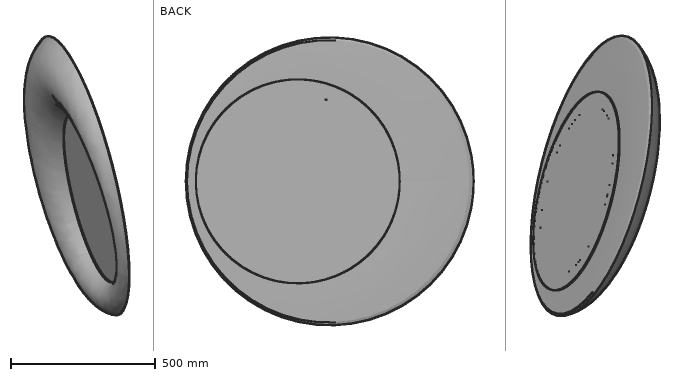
import cadquery as cq
import math

FRAME_RADIUS = 500.0
DOME_HEIGHT = 84.0
DOME_POWER = 0.9
RIM_THICKNESS = 4.0
BEVEL_PER_WIDTH = 0.05
BACK_BULGE = 3.5
BULGE_POWER = 3
MIRROR_RADIUS = 301.0
MIRROR_OFFSET = 111.0
BACK_PLATE_RADIUS = 354.0
BACK_PLATE_THICKNESS = 4.0
INNER_OVERLAP = 2.0
SECTIONS_PER_HALF = 9

dome_inner_radius = MIRROR_RADIUS - INNER_OVERLAP
widest_section = FRAME_RADIUS + MIRROR_OFFSET - dome_inner_radius
back_plate_rear = RIM_THICKNESS + BACK_PLATE_THICKNESS


def disc(radius, front_y, rear_y):
    """Disc on the mirror's axis, which runs along Y."""
    return (
        cq.Workplane("XZ", origin=(MIRROR_OFFSET, front_y, 0))
        .circle(radius)
        .extrude(front_y - rear_y)
    )


def frame_section(angle):
    """Section of the frame at an angle: domed in front, bevelled and slightly bulged behind."""
    direction = cq.Vector(math.cos(angle), 0, math.sin(angle))
    outer = direction * FRAME_RADIUS
    inner = cq.Vector(MIRROR_OFFSET, 0, 0) + direction * dome_inner_radius
    relative_width = (inner - outer).Length / widest_section
    dome_rise = DOME_HEIGHT * relative_width**DOME_POWER
    dome_top = (outer + inner) * 0.5 - cq.Vector(0, dome_rise, 0)

    to_back = cq.Vector(0, RIM_THICKNESS, 0)
    outer_back = outer + (inner - outer) * BEVEL_PER_WIDTH + to_back
    inner_back = inner + to_back
    bulge = BACK_BULGE * relative_width**BULGE_POWER
    bulge_top = (outer_back + inner_back) * 0.5 + cq.Vector(0, bulge, 0)

    return cq.Wire.assembleEdges([
        cq.Edge.makeThreePointArc(outer, dome_top, inner),
        cq.Edge.makeLine(inner, inner_back),
        cq.Edge.makeThreePointArc(inner_back, bulge_top, outer_back),
        cq.Edge.makeLine(outer_back, outer),
    ])


def make_frame():
    """Ring of varying width: two mirrored half lofts, cut out for the mirror and back plate."""
    step = math.pi / (SECTIONS_PER_HALF - 1)
    sections = [frame_section(i * step) for i in range(SECTIONS_PER_HALF)]
    upper_half = cq.Workplane(cq.Solid.makeLoft(sections))
    lower_half = upper_half.mirror("XY")
    bore = disc(MIRROR_RADIUS, -DOME_HEIGHT, back_plate_rear)
    back_recess = disc(BACK_PLATE_RADIUS, RIM_THICKNESS, back_plate_rear)
    return upper_half.union(lower_half).cut(bore).cut(back_recess).solids()


def make_mirror():
    """Round mirror that fills the opening, level with the sharp outer edge of the frame."""
    return disc(MIRROR_RADIUS, 0, RIM_THICKNESS)


def make_back_plate():
    """Larger disc behind the mirror, covering the joint between mirror and frame."""
    return disc(BACK_PLATE_RADIUS, RIM_THICKNESS, back_plate_rear)


frame = make_frame()
mirror = make_mirror()
back_plate = make_back_plate()

result = cq.Compound.makeCompound([frame.val(), mirror.val(), back_plate.val()])